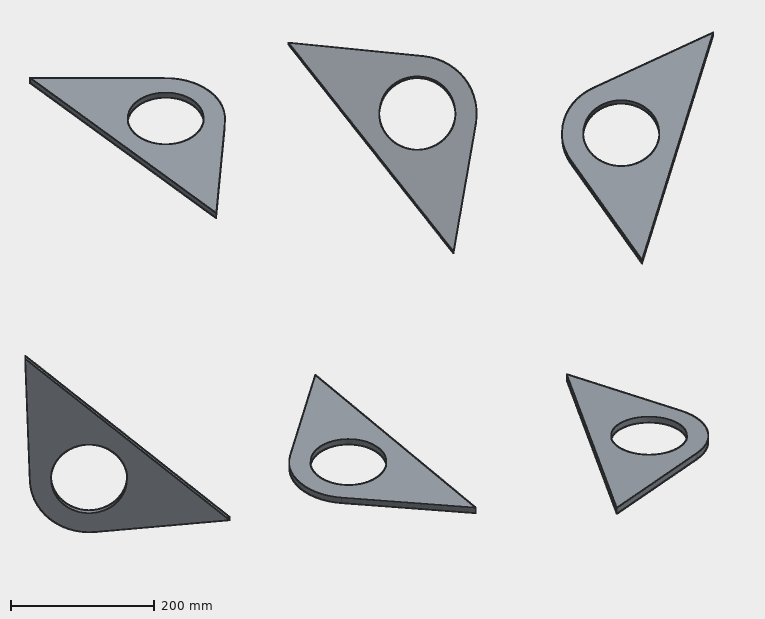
import cadquery as cq
import math

base_length = 380.0
plate_height = 164.0
thickness = 10.0
hole_diameter = 106.0
center_height = 81.5

half_base = base_length / 2
top_radius = plate_height - center_height

corner_to_center = math.hypot(half_base, center_height)
side_angle = math.atan2(center_height, half_base) + math.asin(top_radius / corner_to_center)
tangent_x = top_radius * math.sin(side_angle)
tangent_y = center_height + top_radius * math.cos(side_angle)

plate = (
    cq.Workplane("XY")
    .moveTo(-half_base, 0)
    .lineTo(half_base, 0)
    .lineTo(tangent_x, tangent_y)
    .threePointArc((0, plate_height), (-tangent_x, tangent_y))
    .close()
    .extrude(thickness)
)

hole = (
    cq.Workplane("XY")
    .center(0, center_height)
    .circle(hole_diameter / 2)
    .extrude(thickness)
)

result = plate.cut(hole)